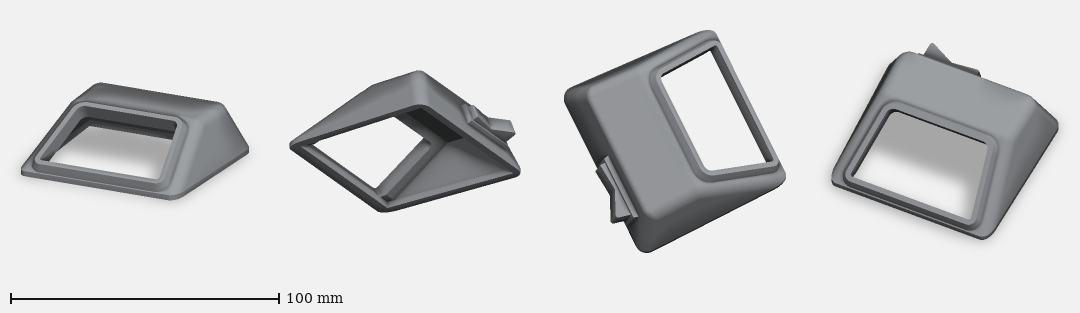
import cadquery as cq
import math

foot_height = 2.0
hood_top = 20.0
depth = 62.3
back_half_width = 34.95
front_half_width = 33.0
wall = 3.0
front_slope = 28.0
back_lean = 20.0
side_lean = 22.0
main_fillet = 4.9
back_top_fillet = 2.0

window_start = 4.1
window_end = 33.55
window_front_half_width = 24.85
window_back_half_width = 20.4
window_front_radius = 1.0
window_back_radius = 3.0
rim_height = 3.0
rim_width = 2.0
rim_draft = 28.0
rim_root = 1.05
foot_opening_front = 4.6
foot_opening_height = 2.6

switch_x = -10.5
switch_up_face = 8.3
plate_length = 26.0
plate_width = 9.05
plate_thickness = 1.9
plate_draft = 12.0
rocker_width = 6.1
rocker_root_left = -21.65
rocker_tip_left = -20.7
rocker_valley_x = -10.2
rocker_right = 0.6
rocker_peak = 8.15
rocker_valley = 3.05
rocker_low_end = 4.1
rocker_tip_radius = 1.0
rocker_end_radius = 0.5
switch_root = 0.7


def tan(angle):
    return math.tan(math.radians(angle))


def cos(angle):
    return math.cos(math.radians(angle))


def polygon_face(points):
    return cq.Face.makeFromWires(cq.Wire.makePolygon([cq.Vector(*p) for p in points], close=True))


def hood(inset, bottom):
    """Flat-sided hood whose faces lie `inset` inside the outer ones, starting at height `bottom`."""
    top = hood_top - inset
    side_taper = (back_half_width - front_half_width) / depth

    def section(z):
        rise = z - foot_height
        front = rise / tan(front_slope) + inset / math.sin(math.radians(front_slope))
        back = depth - rise * tan(back_lean) - inset / cos(back_lean)
        narrowing = rise * tan(side_lean) + inset / cos(side_lean)
        front_half = front_half_width + side_taper * front - narrowing
        back_half = front_half_width + side_taper * back - narrowing
        return [(-front_half, front, z), (front_half, front, z), (back_half, back, z), (-back_half, back, z)]

    low = section(bottom)
    high = section(top)
    faces = [polygon_face(low), polygon_face(high)]
    for i in range(4):
        j = (i + 1) % 4
        faces.append(polygon_face([low[i], low[j], high[j], high[i]]))
    return cq.Workplane(cq.Solid.makeSolid(cq.Shell.makeShell(faces)))


def outer_body():
    body = hood(0, foot_height)
    crest_and_sides = body.edges("not(#Z)").add(body.edges(">Z").edges("not(>Y)"))
    body = crest_and_sides.fillet(main_fillet)
    body = body.faces(">Z").edges(">Y").fillet(back_top_fillet)
    foot = cq.Workplane(cq.Solid.extrudeLinear(
        body.faces("<Z").val().outerWire(), [], cq.Vector(0, 0, -foot_height)))
    return body.union(foot)


def window_plane(height):
    """Workplane parallel to the sloping face: local X is world X, local Y runs up the slope."""
    slope = math.radians(front_slope)
    normal = cq.Vector(0, -math.sin(slope), math.cos(slope))
    origin = cq.Vector(0, 0, foot_height) + normal * height
    return cq.Workplane(cq.Plane(origin=origin, xDir=(1, 0, 0), normal=normal))


def window_outline(growth):
    """Rounded trapezoid of the window, moved outward all round by `growth`."""
    narrowing = (window_front_half_width - window_back_half_width) / (window_end - window_start)
    start = window_start - growth
    end = window_end + growth
    side_growth = growth * math.hypot(1, narrowing)
    front_half = window_front_half_width + side_growth + narrowing * growth
    back_half = window_back_half_width + side_growth - narrowing * growth
    corners = [(-front_half, start), (front_half, start), (back_half, end), (-back_half, end)]
    return (
        cq.Sketch()
        .polygon(corners + corners[:1])
        .vertices("<Y").fillet(window_front_radius + growth).reset()
        .vertices(">Y").fillet(window_back_radius + growth).reset()
    )


def rim():
    rim_depth = rim_height + rim_root
    top = window_outline(rim_width)
    bottom = window_outline(rim_width + rim_depth * tan(rim_draft))
    raised = cq.Location(cq.Vector(0, 0, rim_depth))
    return window_plane(-rim_root).placeSketch(bottom, top.moved(raised)).loft(ruled=True)


def window_hole():
    return window_plane(rim_height).placeSketch(window_outline(0)).extrude(-(rim_height + wall))


def cavity():
    """Hollow inside: upright walls through the foot, then parallel to the outer hood faces."""
    side_offset = wall / cos(side_lean) + (foot_opening_height - foot_height) * tan(side_lean)
    front_half = front_half_width - side_offset
    back_half = back_half_width - side_offset
    back = depth - wall
    foot_opening = cq.Workplane().polyline([
        (-front_half, foot_opening_front),
        (front_half, foot_opening_front),
        (back_half, back),
        (-back_half, back),
    ]).close().extrude(foot_opening_height)
    return hood(wall, foot_opening_height).union(foot_opening)


def rocker_profile():
    """Side outline of the rocker: X along the plate, Y outward from the back face."""
    root_left = (rocker_root_left, 0)
    tip = (rocker_tip_left, rocker_peak)
    valley = (rocker_valley_x, rocker_valley)
    low_end = (rocker_right, rocker_low_end)
    root_right = (rocker_right, 0)
    profile = cq.Sketch().polygon([root_left, tip, valley, low_end, root_right, root_left])
    for corner, radius in (
        (tip, rocker_tip_radius),
        (valley, rocker_tip_radius),
        (low_end, rocker_end_radius),
    ):
        nearest = cq.NearestToPointSelector((*corner, 0))
        profile = profile.vertices(nearest).fillet(radius).reset()
    return profile


def switch():
    """Plate and rocker mounted square to the leaning back face."""
    lean = math.radians(back_lean)
    normal = cq.Vector(0, math.cos(lean), math.sin(lean))
    up_face = cq.Vector(0, -math.sin(lean), math.cos(lean))
    foot_edge = cq.Vector(0, depth, foot_height)
    centre = foot_edge + up_face * switch_up_face

    face_plane = cq.Plane(origin=centre + cq.Vector(switch_x, 0, 0), xDir=(-1, 0, 0), normal=normal)
    plate_face = cq.Sketch().rect(plate_length, plate_width)
    plate = cq.Workplane(face_plane).placeSketch(plate_face).extrude(plate_thickness, taper=plate_draft)
    root = cq.Workplane(face_plane).placeSketch(plate_face).extrude(-switch_root)

    rocker_plane = cq.Plane(origin=centre, xDir=(1, 0, 0), normal=up_face)
    rocker = cq.Workplane(rocker_plane).placeSketch(rocker_profile()).extrude(rocker_width / 2, both=True)
    return plate.union(root).union(rocker)


result = outer_body().union(rim()).cut(cavity()).cut(window_hole()).union(switch())